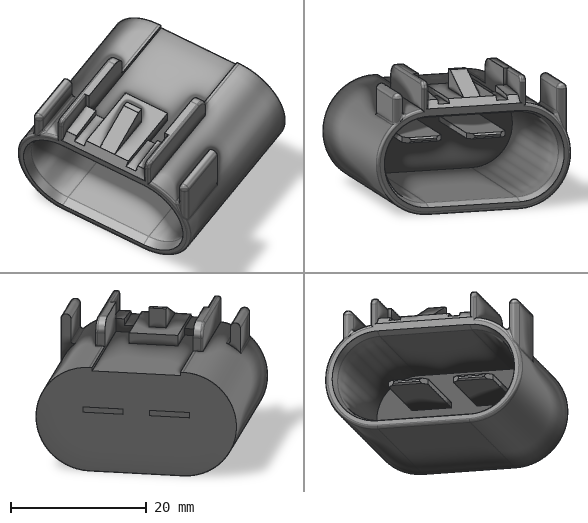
import cadquery as cq
import math

LENGTH = 26.4
HALF_WIDTH = 15.0
OVAL_RADIUS = 7.98
CENTER_Z = OVAL_RADIUS
OVAL_TOP = 2 * OVAL_RADIUS
TOP_Z = 19.98
RIM_ROUND = 0.45

WALL = 1.55
BACK_END_WALL = 1.68
MOUTH_WALL = 1.1
LEAD_IN_DEPTH = 1.4
BACK_WALL = 3.0
CAVITY_DEPTH = LENGTH - BACK_WALL

CHANNEL_HALF_WIDTH = 6.6
CHANNEL_DEPTH = 0.5
CHANNEL_FLOOR = OVAL_TOP - CHANNEL_DEPTH

FIN_OUTER_X = 8.05
FIN_FRONT_INNER_X = 7.1
FIN_LENGTH = 15.65
FIN_BACK_RADIUS = 2.0
FIN_FRONT_RADIUS = 1.0
FIN_OUTER_ROUND = 0.35
FIN_INNER_ROUND = 0.27
FIN_EMBED = 0.8
FIN_ROOT_Z = OVAL_TOP - FIN_EMBED

BED_TOP = 17.07
BED_EMBED = 0.15
BED_CHAMFER = BED_TOP - OVAL_TOP
SLAB_HALF_WIDTH = 3.65
SLAB_LENGTH = 11.95
SIDE_LENGTH = 6.48
GROOVE_OUTER_X = 5.35
GROOVE_FLOOR = 16.47
WEDGE_BACK_Z = 17.45
BED_HALF_WIDTH = FIN_FRONT_INNER_X + FIN_INNER_ROUND

RAMP_WIDTH = 2.58
RAMP_CREST_Y = 7.68
RAMP_BACK_Y = 8.52

POST_RADIUS = 0.75
POST_LENGTH = 8.6
POST_TOP = 18.42
POST_FRONT_Y = 0.05
POST_ROOT_Z = 10.8
POST_FILLET = 0.4
LEFT_POST_X = -11.65
RIGHT_POST_X = 13.68

BLADE_WIDTH = 6.0
BLADE_THICKNESS = 0.8
BLADE_X = 4.95
BLADE_Z = 9.42
BLADE_TIP_Y = 9.0
BLADE_LENGTH = LENGTH - BLADE_TIP_Y
BLADE_SIDE_BEVEL = 1.02
BLADE_FACE_BEVEL = 0.27

PICK_MARGIN = 0.03


def plane_at(y):
    """Sketch plane facing +Y: local x is -X, local y is Z."""
    return cq.Plane(origin=(0, y, 0), xDir=(-1, 0, 0), normal=(0, 1, 0))


def oval(y, inset):
    """Oval outline at a given y, shrunk inward from the outer oval."""
    height = 2 * (OVAL_RADIUS - inset)
    return cq.Workplane(plane_at(y)).center(0, CENTER_Z).slot2D(2 * (HALF_WIDTH - inset), height)


def block(x_min, x_max, y_min, y_max, z_min, z_max):
    """Box given by its limits."""
    size = (x_max - x_min, y_max - y_min, z_max - z_min)
    return cq.Workplane().box(*size, centered=False).translate((x_min, y_min, z_min))


def side_prism(points, x_min, x_max):
    """Prism along X from a list of (y, z) points."""
    profile = cq.Workplane("YZ", origin=(x_min, 0, 0)).polyline(points).close()
    return profile.extrude(x_max - x_min)


def mirrored_pair(right_part):
    """A part and its mirror image on the other side of the YZ plane."""
    return right_part.union(right_part.mirror("YZ"))


def make_post(x):
    """Coding post with a half-round top, a half-round nose and a rounded front corner."""
    straight_top = POST_TOP - POST_RADIUS
    nose_y = POST_FRONT_Y + POST_RADIUS
    straight = POST_LENGTH - nose_y
    rise = straight_top - POST_ROOT_Z
    plate = block(x - POST_RADIUS, x + POST_RADIUS, nose_y, POST_LENGTH, POST_ROOT_Z, straight_top)
    nose = cq.Workplane("XY", origin=(x, nose_y, POST_ROOT_Z)).circle(POST_RADIUS).extrude(rise)
    crest = cq.Workplane(plane_at(nose_y)).center(-x, straight_top).circle(POST_RADIUS).extrude(straight)
    corner = cq.Workplane().sphere(POST_RADIUS).translate((x, nose_y, straight_top))
    return plate.union(nose).union(crest).union(corner)


def add_post(body, x):
    """Join a coding post to the oval and fillet the corner that runs around its nose."""
    inner_x = x - math.copysign(POST_RADIUS, x)
    inner_corner = cq.selectors.BoxSelector(
        (inner_x - PICK_MARGIN, POST_RADIUS, POST_ROOT_Z),
        (inner_x + PICK_MARGIN, POST_LENGTH, OVAL_TOP),
    )
    return body.union(make_post(x)).edges(inner_corner).edges("|Y").fillet(POST_FILLET)


def make_fin():
    """Right-hand guide fin, thinner beside the latch bed."""
    fin = block(CHANNEL_HALF_WIDTH, FIN_OUTER_X, 0, FIN_LENGTH, FIN_ROOT_Z, TOP_Z)
    fin = fin.edges("|X and >Z and >Y").fillet(FIN_BACK_RADIUS)
    fin = fin.edges("|X and >Z and <Y").fillet(FIN_FRONT_RADIUS)
    fin = fin.faces(">X").edges("not <Z").fillet(FIN_OUTER_ROUND)
    fin = fin.cut(block(CHANNEL_HALF_WIDTH, FIN_FRONT_INNER_X, 0, SIDE_LENGTH, FIN_ROOT_Z, TOP_Z))
    inner_edge = cq.selectors.BoxSelector(
        (FIN_FRONT_INNER_X - PICK_MARGIN, -PICK_MARGIN, FIN_ROOT_Z + PICK_MARGIN),
        (FIN_FRONT_INNER_X + PICK_MARGIN, SIDE_LENGTH - PICK_MARGIN, TOP_Z + PICK_MARGIN),
    )
    return fin.edges(inner_edge).fillet(FIN_INNER_ROUND)


def make_latch_bed():
    """Slab, grooves and side wedges, all behind one chamfered front."""
    base_z = CHANNEL_FLOOR - BED_EMBED
    groove_y = GROOVE_FLOOR - OVAL_TOP
    front = [(0, base_z), (0, OVAL_TOP)]
    side_back = (SIDE_LENGTH, base_z)
    slab = side_prism(
        front + [(BED_CHAMFER, BED_TOP), (SLAB_LENGTH, BED_TOP), (SLAB_LENGTH, base_z)],
        -SLAB_HALF_WIDTH,
        SLAB_HALF_WIDTH,
    )
    groove = side_prism(
        front + [(groove_y, GROOVE_FLOOR), (SIDE_LENGTH, GROOVE_FLOOR), side_back],
        SLAB_HALF_WIDTH,
        GROOVE_OUTER_X,
    )
    wedge = side_prism(
        front + [(BED_CHAMFER, BED_TOP), (SIDE_LENGTH, WEDGE_BACK_Z), side_back],
        GROOVE_OUTER_X,
        BED_HALF_WIDTH,
    )
    return slab.union(mirrored_pair(groove.union(wedge)))


def make_ramp():
    """Latch ramp rising from the slab's chamfer to a short level crest."""
    profile = [(BED_CHAMFER, BED_TOP), (RAMP_CREST_Y, TOP_Z), (RAMP_BACK_Y, TOP_Z), (RAMP_BACK_Y, BED_TOP)]
    return side_prism(profile, -RAMP_WIDTH / 2, RAMP_WIDTH / 2)


def make_cavity():
    """Blind, slightly drafted oval cavity with a tapered lead-in at the mouth."""
    stations = [(0, MOUTH_WALL), (LEAD_IN_DEPTH, WALL), (CAVITY_DEPTH, BACK_END_WALL)]
    outlines = [oval(y, wall).wires().val() for y, wall in stations]
    return cq.Workplane(cq.Solid.makeLoft(outlines, True))


def make_blade(x):
    """Flat blade terminal with 45 degree bevels on all sides of its tip."""
    half_width = BLADE_WIDTH / 2
    half_tip = half_width - BLADE_SIDE_BEVEL
    half_thick = BLADE_THICKNESS / 2
    half_edge = half_thick - BLADE_FACE_BEVEL
    plan = [
        (-half_tip, 0),
        (half_tip, 0),
        (half_width, BLADE_SIDE_BEVEL),
        (half_width, BLADE_LENGTH),
        (-half_width, BLADE_LENGTH),
        (-half_width, BLADE_SIDE_BEVEL),
    ]
    profile = [
        (0, -half_edge),
        (0, half_edge),
        (BLADE_FACE_BEVEL, half_thick),
        (BLADE_LENGTH, half_thick),
        (BLADE_LENGTH, -half_thick),
        (BLADE_FACE_BEVEL, -half_thick),
    ]
    flat = cq.Workplane("XY", origin=(0, 0, -half_thick)).polyline(plan).close().extrude(BLADE_THICKNESS)
    blade = flat.intersect(side_prism(profile, -half_width, half_width))
    return blade.translate((x, BLADE_TIP_Y, BLADE_Z))


def make_housing(blades):
    """Oval tube with fins, latch bed, ramp and posts, pierced for the blades."""
    body = oval(0, 0).extrude(LENGTH).faces("<Y").edges().fillet(RIM_ROUND)
    for post_x in (LEFT_POST_X, RIGHT_POST_X):
        body = add_post(body, post_x)
    body = body.cut(block(-CHANNEL_HALF_WIDTH, CHANNEL_HALF_WIDTH, 0, LENGTH, CHANNEL_FLOOR, OVAL_TOP))
    body = body.union(mirrored_pair(make_fin()))
    body = body.union(make_latch_bed()).union(make_ramp())
    body = body.cut(make_cavity())
    for blade in blades:
        body = body.cut(blade)
    return body


blades = [make_blade(x) for x in (-BLADE_X, BLADE_X)]
housing = make_housing(blades)

result = cq.Compound.makeCompound([housing.val(), *[blade.val() for blade in blades]])